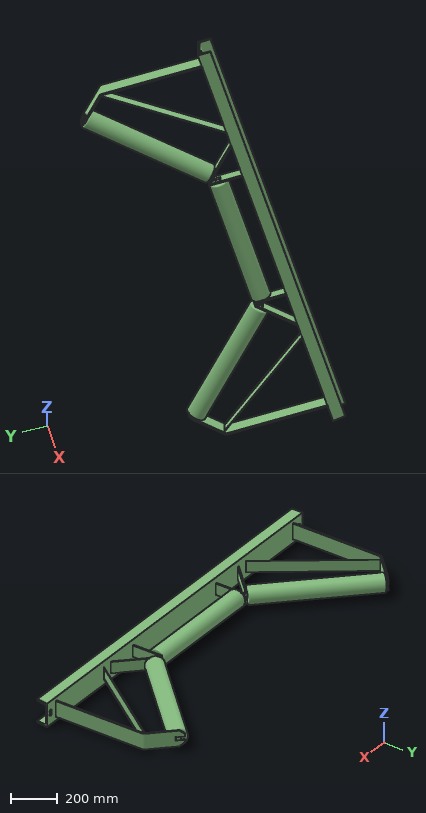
import cadquery as cq
import math


channel_length = 1900.0
channel_height = 120.0
flange_depth = 57.0
web_thickness = 8.5
flange_root = 11.0
flange_tip = 8.5
root_fillet = 5.0
end_skew = 8.0
bolt_slot_x = 923.0
bolt_slot_width = 17.0
bolt_slot_length = 28.0

roller_diameter = 90.0
roller_length = 600.0
roller_edge_fillet = 5.0
shaft_diameter = 25.0
shaft_flats = 17.0
end_gap = 4.0

outer_plate_width = 80.0
inner_plate_width = 57.0
plate_thickness = 8.0
strut_width = 57.0
strut_thickness = 2.8
tip_chamfer_length = 25.0
tip_chamfer_width = 17.0
bend_radius = 10.0

trough_angle = 45.0
middle_axis_y = 115.0
wing_x = -557.0
wing_y = 350.0
outer_leg_x = -885.0
bridge_top_y = 150.0
tip_above_axis = 28.0
strut_foot_x = -526.0
strut_head_x = -870.0

half_roller = roller_length / 2
plate_near = half_roller + end_gap
plate_far = plate_near + plate_thickness
shaft_radius = shaft_diameter / 2
cos_trough = math.cos(math.radians(trough_angle))
sin_trough = math.sin(math.radians(trough_angle))


def wing_point(along, above):
    """Point in XY given along the left inclined roller axis (inward) and square to it (upward)."""
    return (
        wing_x + along * cos_trough + above * sin_trough,
        wing_y - along * sin_trough + above * cos_trough,
    )


def wing_point_at_x(along, x):
    """Point at a given X on a line square to the left inclined roller axis."""
    return wing_point(along, (x - wing_x - along * cos_trough) / sin_trough)


def wing_point_at_y(along, y):
    """Point at a given Y on a line square to the left inclined roller axis."""
    return wing_point(along, (y - wing_y + along * sin_trough) / cos_trough)


def mirrored(body):
    return body.mirror("YZ")


def plate_from_outline(points, width):
    """Plate of a given XY outline, centred on Z = 0."""
    return cq.Workplane("XY", origin=(0, 0, -width / 2)).polyline(points).close().extrude(width)


def bar_along_x(radius, length):
    """Round bar along X, centred on the origin."""
    end_plane = cq.Plane(origin=(-length / 2, 0, 0), xDir=(0, 0, -1), normal=(1, 0, 0))
    return cq.Workplane(end_plane).circle(radius).extrude(length)


def on_left_wing(body):
    """Move a body built along X at the origin onto the left inclined roller axis."""
    return body.rotate((0, 0, 0), (0, 0, 1), -trough_angle).translate((wing_x, wing_y, 0))


def make_channel():
    half_height = channel_height / 2
    half_root = half_height - flange_root
    half_tip = half_height - flange_tip
    section = [
        (0, -half_height),
        (0, half_height),
        (-flange_depth, half_height),
        (-flange_depth, half_tip),
        (-web_thickness, half_root),
        (-web_thickness, -half_root),
        (-flange_depth, -half_tip),
        (-flange_depth, -half_height),
    ]
    half_length = channel_length / 2
    beam = (
        cq.Workplane("YZ", origin=(-half_length, 0, 0)).polyline(section).close().extrude(channel_length)
    )
    margin = 2.0
    roots = cq.selectors.BoxSelector(
        (-channel_length, -web_thickness - margin, -half_root - margin),
        (channel_length, -web_thickness + margin, half_root + margin),
    )
    beam = beam.edges("|X").edges(roots).fillet(root_fillet)

    skew_wedge = plate_from_outline(
        [(half_length, 0), (half_length, -flange_depth), (half_length - end_skew, -flange_depth)],
        channel_height,
    )
    bolt_slots = (
        cq.Workplane("XZ")
        .pushPoints([(-bolt_slot_x, 0), (bolt_slot_x, 0)])
        .slot2D(bolt_slot_length, bolt_slot_width, 90)
        .extrude(web_thickness)
    )
    return beam.cut(skew_wedge).cut(bolt_slots)


def make_roller():
    """Roller with its fixed shaft, along X and centred on the origin."""
    barrel = bar_along_x(roller_diameter / 2, roller_length).edges("%CIRCLE").fillet(roller_edge_fillet)
    shaft = bar_along_x(shaft_radius, 2 * plate_near)
    flats = cq.Workplane("XY").box(2 * plate_far, shaft_diameter, shaft_flats)
    flattened_ends = bar_along_x(shaft_radius, 2 * plate_far).intersect(flats)
    return barrel.union(shaft).union(flattened_ends)


def make_shaft_slots():
    """Cutters for the two shaft slots of a roller that lies along X, open upward in Y."""
    slot_height = roller_diameter / 2 + shaft_radius
    cutter = cq.Workplane("XY").box(plate_thickness, slot_height, shaft_flats)
    lift = slot_height / 2 - shaft_radius
    middle = (plate_near + plate_far) / 2
    return cutter.translate((-middle, lift, 0)).union(cutter.translate((middle, lift, 0)))


def make_outer_bracket():
    """Left-hand upright, bent over square to the inclined roller, with a chamfered tip."""
    inner_leg_x = outer_leg_x + plate_thickness
    outline = [
        (outer_leg_x, 0),
        wing_point_at_x(-plate_far, outer_leg_x),
        wing_point(-plate_far, tip_above_axis),
        wing_point(-plate_near, tip_above_axis),
        wing_point_at_x(-plate_near, inner_leg_x),
        (inner_leg_x, 0),
    ]
    outside_bend = cq.selectors.NearestToPointSelector((*outline[1], 0))
    inside_bend = cq.selectors.NearestToPointSelector((*outline[4], 0))
    bracket = (
        plate_from_outline(outline, outer_plate_width)
        .edges(outside_bend)
        .fillet(bend_radius + plate_thickness)
        .edges(inside_bend)
        .fillet(bend_radius)
    )

    half_width = outer_plate_width / 2
    corner = (
        cq.Workplane("YZ")
        .polyline([
            (tip_above_axis, half_width),
            (tip_above_axis - tip_chamfer_length, half_width),
            (tip_above_axis, half_width - tip_chamfer_width),
        ])
        .close()
        .extrude(-plate_far)
    )
    corners = corner.union(corner.mirror("XY"))
    return bracket.cut(on_left_wing(corners)).cut(on_left_wing(make_shaft_slots()))


def make_inner_bracket():
    """Left-hand folded plate that holds the inner wing shaft and one middle shaft."""
    bridge_under_y = bridge_top_y - plate_thickness
    outline = [
        wing_point_at_y(plate_near, 0),
        wing_point_at_y(plate_near, bridge_top_y),
        (-plate_near, bridge_top_y),
        (-plate_near, 0),
        (-plate_far, 0),
        (-plate_far, bridge_under_y),
        wing_point_at_y(plate_far, bridge_under_y),
        wing_point_at_y(plate_far, 0),
    ]
    bracket = plate_from_outline(outline, inner_plate_width)
    middle_slots = make_shaft_slots().translate((0, middle_axis_y, 0))
    return bracket.cut(on_left_wing(make_shaft_slots())).cut(middle_slots)


def make_strut():
    """Left-hand brace from the underside of the outer bracket's inclined leg down to the channel."""
    head_x, head_y = wing_point_at_x(-plate_near, strut_head_x)
    run = strut_foot_x - head_x
    span = math.hypot(run, head_y)
    foot_cut = strut_thickness * span / head_y
    head_cut = strut_thickness * span / (run * cos_trough + head_y * sin_trough)
    outline = [
        (head_x, head_y),
        (strut_foot_x, 0),
        (strut_foot_x - foot_cut, 0),
        (head_x - head_cut * sin_trough, head_y - head_cut * cos_trough),
    ]
    return plate_from_outline(outline, strut_width)


channel = make_channel()
middle_roller = make_roller().translate((0, middle_axis_y, 0))
bodies = [*channel.solids().vals(), *middle_roller.solids().vals()]
for left_body in (on_left_wing(make_roller()), make_outer_bracket(), make_inner_bracket(), make_strut()):
    bodies.extend(left_body.solids().vals())
    bodies.extend(mirrored(left_body).solids().vals())

result = cq.Compound.makeCompound(bodies)